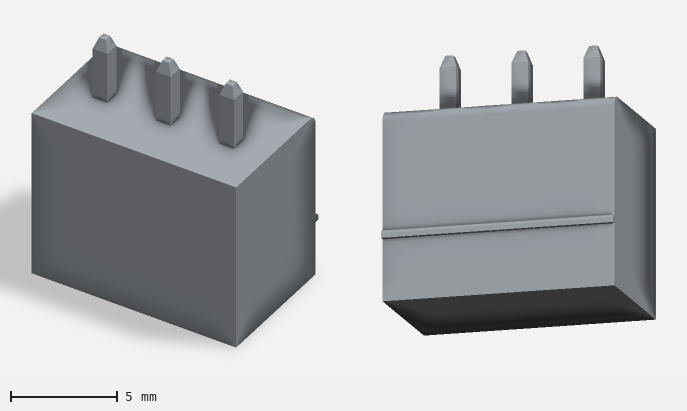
import cadquery as cq

body_width = 11.3
body_depth = 6.99
body_height = 9.2
back_edge_radius = 0.5

rib_projection = 0.25
rib_height = 0.4
rib_bottom = 3.0
rib_top_radius = 0.2

total_height = 12.6
pin_count = 3
pin_pitch = 3.5
pin_width = 0.81
pin_setback = 3.0
tip_height = 0.6
tip_width = 0.38


def housing():
    """Block with its top back edge rounded."""
    block = cq.Workplane("XY").box(
        body_width, body_depth, body_height, centered=(True, False, False)
    )
    return block.edges(">Y and >Z").fillet(back_edge_radius)


def snap_rib():
    """Rib with a flat underside and a rounded upper outer edge."""
    rib = cq.Workplane("XY", origin=(0, body_depth, rib_bottom)).box(
        body_width, rib_projection, rib_height, centered=(True, False, False)
    )
    return rib.edges(">Y and >Z").fillet(rib_top_radius)


def pin(x):
    """Square pin standing on the top face, ending in a truncated pyramid."""
    shoulder = total_height - tip_height
    shank = (
        cq.Workplane("XY", origin=(x, pin_setback, body_height))
        .rect(pin_width, pin_width)
        .extrude(shoulder - body_height)
    )
    tip = (
        cq.Workplane("XY", origin=(x, pin_setback, shoulder))
        .rect(pin_width, pin_width)
        .workplane(offset=tip_height)
        .rect(tip_width, tip_width)
        .loft(ruled=True)
    )
    return shank.union(tip)


result = housing().union(snap_rib())
for index in range(pin_count):
    pin_x = (index - (pin_count - 1) / 2) * pin_pitch
    result = result.union(pin(pin_x))